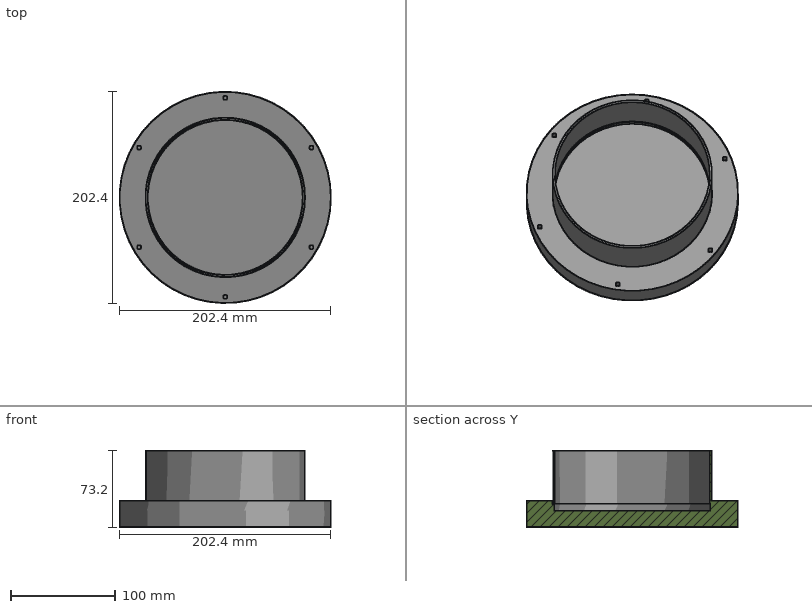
import cadquery as cq

flange_diameter = 202.44
base_thickness = 15.875

ring_thickness = 9.525
ring_bore_diameter = 149.22
seat_diameter = 152.91
seat_depth = 3.05

tube_outer_diameter = 152.4
tube_inner_diameter = 148.18
tube_length = 50.8

screw_hole_diameter = 3.96
screw_circle_diameter = 190.5
screw_count = 6
first_screw_angle = 90

ring_top = base_thickness + ring_thickness
seat_floor = ring_top - seat_depth


def disc(diameter, bottom, height):
    """Solid cylinder on the Z axis, starting at the given height."""
    return cq.Workplane("XY", origin=(0, 0, bottom)).circle(diameter / 2).extrude(height)


def make_base():
    return disc(flange_diameter, 0, base_thickness)


def make_screw_holes():
    return (
        cq.Workplane("XY", origin=(0, 0, base_thickness))
        .polarArray(screw_circle_diameter / 2, first_screw_angle, 360, screw_count)
        .circle(screw_hole_diameter / 2)
        .extrude(ring_thickness)
    )


def make_ring():
    ring = disc(flange_diameter, base_thickness, ring_thickness)
    bore = disc(ring_bore_diameter, base_thickness, ring_thickness)
    seat = disc(seat_diameter, seat_floor, seat_depth)
    return ring.cut(bore).cut(seat).cut(make_screw_holes())


def make_tube():
    outside = disc(tube_outer_diameter, seat_floor, tube_length)
    inside = disc(tube_inner_diameter, seat_floor, tube_length)
    return outside.cut(inside)


result = make_base().union(make_ring(), clean=False).union(make_tube(), clean=False)